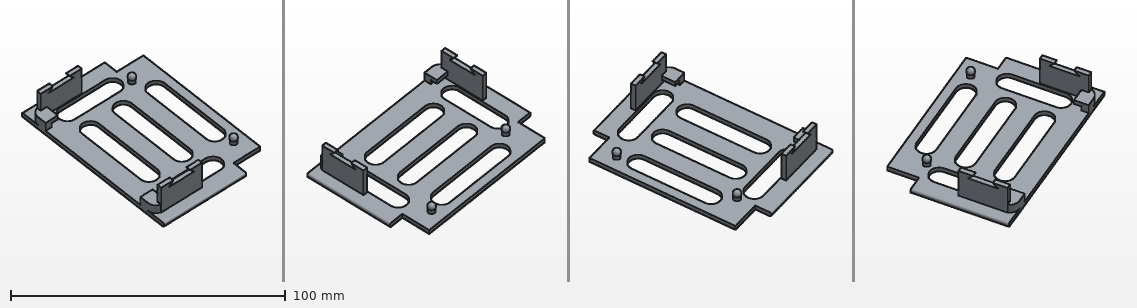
import cadquery as cq


plate_length = 78.0
plate_depth = 53.0
plate_thickness = 2.0
side_wing_depth = 40.0
rear_tongue_length = 64.0
side_edge_radius = 0.8

slot_width = 8.0
long_slot_length = 40.0
long_slot_pitch = 16.0
middle_slot_y = 29.0
side_slot_length = 30.0
side_slot_x = 27.5
side_slot_y = 23.0

overall_height = 14.5
wall_outer_x = 34.0
wall_thickness = 2.0
wall_front_y = 3.0
wall_length = 20.0
notch_depth = 2.0
notch_mouth = 8.0
notch_floor = notch_mouth + 2 * notch_depth

block_length = 8.0
block_depth = 6.0
block_height = 4.0
block_corner_radius = 4.0

gap_height = 2.0

pin_diameter = 3.0
pin_height = 4.1
ball_diameter = 3.3
pin_centers = [(-24.4, 40.6), (24.0, 47.1)]


def make_plate():
    wings = (
        cq.Workplane("XY")
        .box(plate_length, side_wing_depth, plate_thickness, centered=(True, False, False))
        .edges("|Y")
        .fillet(side_edge_radius)
    )
    tongue = cq.Workplane("XY").box(
        rear_tongue_length, plate_depth, plate_thickness, centered=(True, False, False)
    )
    return wings.union(tongue)


def make_slots():
    long_slot_centers = [(0, middle_slot_y + step * long_slot_pitch) for step in (-1, 0, 1)]
    side_slot_centers = [(side * side_slot_x, side_slot_y) for side in (-1, 1)]
    long_slots = (
        cq.Workplane("XY")
        .pushPoints(long_slot_centers)
        .slot2D(long_slot_length, slot_width)
        .extrude(plate_thickness)
    )
    side_slots = (
        cq.Workplane("XY")
        .pushPoints(side_slot_centers)
        .slot2D(side_slot_length, slot_width, angle=90)
        .extrude(plate_thickness)
    )
    return long_slots.union(side_slots)


def make_right_wall():
    middle_y = wall_front_y + wall_length / 2
    rear_y = wall_front_y + wall_length
    notch_z = overall_height - notch_depth
    profile = [
        (wall_front_y, 0),
        (rear_y, 0),
        (rear_y, overall_height),
        (middle_y + notch_mouth / 2, overall_height),
        (middle_y + notch_floor / 2, notch_z),
        (middle_y - notch_floor / 2, notch_z),
        (middle_y - notch_mouth / 2, overall_height),
        (wall_front_y, overall_height),
    ]
    return (
        cq.Workplane("YZ", origin=(wall_outer_x - wall_thickness, 0, 0))
        .polyline(profile)
        .close()
        .extrude(wall_thickness)
    )


def make_right_block():
    block = (
        cq.Workplane("XY", origin=(wall_outer_x - block_length, 0, 0))
        .box(block_length, block_depth, plate_thickness + block_height, centered=False)
        .edges("|Z and >X and <Y")
        .fillet(block_corner_radius)
    )
    gap = cq.Workplane("XY", origin=(wall_outer_x - block_length, wall_front_y, plate_thickness)).box(
        block_length - wall_thickness, block_depth - wall_front_y, gap_height, centered=False
    )
    return block.cut(gap)


def make_pin(x, y):
    ball_radius = ball_diameter / 2
    ball_center_z = plate_thickness + pin_height - ball_radius
    shank = cq.Workplane("XY").circle(pin_diameter / 2).extrude(ball_center_z)
    ball = cq.Workplane("XY").sphere(ball_radius).translate((0, 0, ball_center_z))
    return shank.union(ball).translate((x, y, 0))


right_bracket = make_right_wall().union(make_right_block())
left_bracket = right_bracket.mirror("YZ")

result = make_plate().cut(make_slots()).union(right_bracket).union(left_bracket)
for pin_x, pin_y in pin_centers:
    result = result.union(make_pin(pin_x, pin_y))